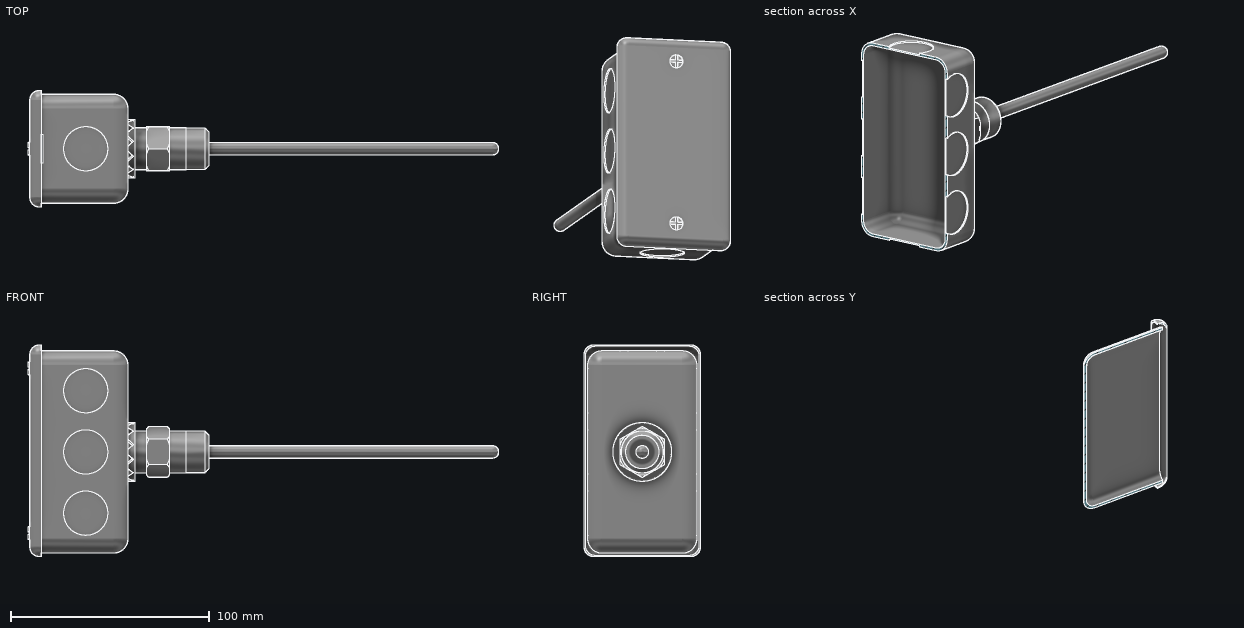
import cadquery as cq
import math


x_axis = ((0, 0, 0), (1, 0, 0))

cover_width = 58.7
cover_height = 106.5
cover_front = 1.0
cover_back = 6.9
cover_round = 5.0
cover_sheet = 0.7

box_width = 55.0
box_height = 101.8
box_front = 3.8
box_back = 50.5
box_drop = 0.6
box_round = 7.3
wall = 1.7
notch_width = 14.2
notch_end = 7.5

knockout_diameter = 22.2
knockout_x = 29.0
knockout_pitch = 30.8
side_knockouts = 3
end_knockouts = 1
knockout_depth = 0.7

screw_diameter = 6.6
screw_spacing = 82.8
screw_edge_round = 0.5
slot_width = 1.2
slot_depth = 0.7

locknut_back = 54.0
locknut_flange = 1.0
locknut_diameter = 29.5
lug_count = 12
lug_gap = 5.2
neck_diameter = 21.3
hex_start = 59.6
hex_end = 71.2
hex_flats = 22.2
hex_chamfer = 1.2
cap_start = 79.5
cap_end = 91.1
cap_diameter = 21.0
cap_chamfer = 2.1
probe_diameter = 6.5
probe_end = 236.7
probe_round = 3.0


def block(start, end, width, height):
    """Rectangular block centred on the X axis, from X = start to X = end."""
    return cq.Workplane("YZ", origin=(start, 0, 0)).rect(width, height).extrude(end - start)


def rod(start, end, diameter):
    """Cylinder on the X axis, from X = start to X = end."""
    return cq.Workplane("YZ", origin=(start, 0, 0)).circle(diameter / 2).extrude(end - start)


def make_cover():
    """Thin sheet pan, open towards the box, with rounded corners and front edges."""
    outside = block(cover_front, cover_back, cover_width, cover_height)
    outside = outside.edges("|X").fillet(cover_round).faces("<X").edges().fillet(cover_round)
    inside_width = cover_width - 2 * cover_sheet
    inside_height = cover_height - 2 * cover_sheet
    inside = block(cover_front + cover_sheet, cover_back, inside_width, inside_height)
    inside = inside.edges("|X").fillet(cover_round).faces("<X").edges().fillet(cover_round)
    return outside.cut(inside)


def make_knockouts(plane, wall_distance, count):
    """Shallow round pockets in a row, in both of the opposite walls parallel to the plane."""
    middle = (count - 1) / 2
    centres = [(knockout_x, (i - middle) * knockout_pitch) for i in range(count)]
    circles = cq.Workplane(plane).workplane(offset=wall_distance / 2).pushPoints(centres)
    pockets = circles.circle(knockout_diameter / 2).extrude(-knockout_depth)
    return pockets.union(pockets.mirror(plane))


def make_box():
    """Hollow box, open towards the cover, with notches and knockouts."""
    shell = block(box_front, box_back, box_width, box_height)
    shell = shell.edges("|X").fillet(box_round).faces(">X").edges().fillet(box_round)
    cavity_width = box_width - 2 * wall
    cavity_height = box_height - 2 * wall
    cavity = block(box_front, box_back - wall, cavity_width, cavity_height)
    cavity_round = box_round - wall
    cavity = cavity.edges("|X").fillet(cavity_round).faces(">X").edges().fillet(cavity_round)
    shell = shell.cut(cavity)

    shell = shell.cut(block(box_front, notch_end, notch_width, box_height))

    shell = shell.cut(make_knockouts("XZ", box_width, side_knockouts))
    return shell.cut(make_knockouts("XY", box_height, end_knockouts))


def make_screw(z):
    """Round screw head on the cover face, with crossed slots."""
    head = rod(0, cover_front, screw_diameter).faces("<X").edges().fillet(screw_edge_round)
    head = head.cut(block(0, slot_depth, slot_width, screw_diameter))
    head = head.cut(block(0, slot_depth, screw_diameter, slot_width))
    return head.translate((0, 0, z))


def make_locknut():
    """Disc with V-shaped gaps between the lugs that bear on the box."""
    nut = rod(box_back, locknut_back, locknut_diameter)
    gap_corners = [(box_back, -lug_gap / 2), (box_back, lug_gap / 2), (locknut_back - locknut_flange, 0)]
    gap = cq.Workplane("XY").polyline(gap_corners).close().extrude(locknut_diameter, both=True)
    for i in range(lug_count // 2):
        nut = nut.cut(gap.rotate(*x_axis, (i + 0.5) * 360 / lug_count))
    return nut


def make_hex():
    """Hexagon with corners up and down, its corners bevelled at both ends."""
    corner_diameter = hex_flats / math.cos(math.pi / 6)
    length = hex_end - hex_start
    prism = cq.Workplane("YZ", origin=(hex_start, 0, 0)).polygon(6, corner_diameter).extrude(length)
    prism = prism.rotate(*x_axis, 90)
    bevelled_rod = rod(hex_start, hex_end, corner_diameter).edges().chamfer(hex_chamfer)
    return prism.intersect(bevelled_rod)


def make_sensor():
    """Fitting with its locknut, hexagon, cap and long round-ended probe, as one body."""
    cap = rod(cap_start, cap_end, cap_diameter).faces(">X").edges().chamfer(cap_chamfer)
    probe = rod(cap_start, probe_end, probe_diameter).faces(">X").edges().fillet(probe_round)
    sensor = rod(box_back, cap_start, neck_diameter)
    for piece in (make_locknut(), make_hex(), cap, probe):
        sensor = sensor.union(piece)
    return sensor


drop = cq.Vector(0, 0, -box_drop)
cover = make_cover()
box = make_box().translate(drop)
screws = [make_screw(side * screw_spacing / 2) for side in (-1, 1)]
sensor = make_sensor().translate(drop)

result = cq.Compound.makeCompound(
    [box.val(), cover.val(), *[screw.val() for screw in screws], sensor.val()]
)